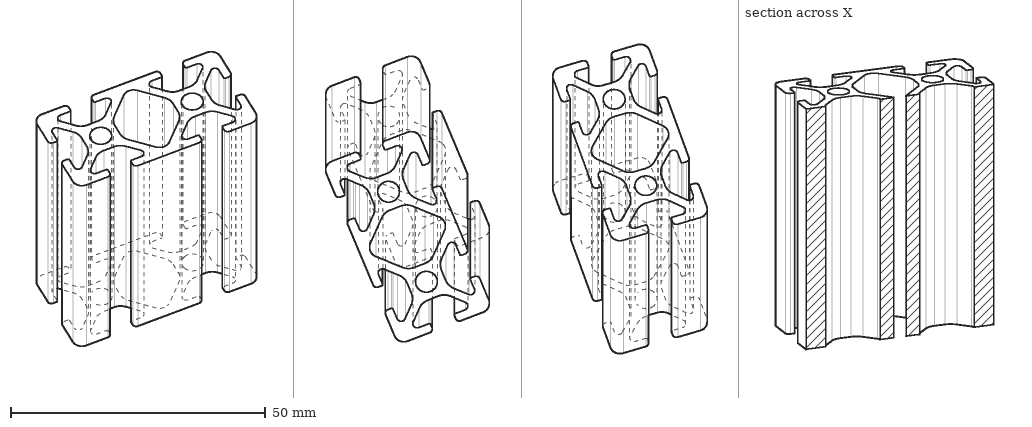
import cadquery as cq

cell = 20.0
length = 50.0
corner_radius = 2.0

slot_opening = 5.0
lip_thickness = 1.8
lip_edge_radius = 0.8
lip_inner_radius = 0.25
strut_width = 1.75
core_width = 7.25
slot_tip_radius = 0.85
slot_floor_radius = 3.0

bore_diameter = 4.3
cavity_side_radius = 2.1

half_cell = cell / 2
half_opening = slot_opening / 2
half_core = core_width / 2
lip_inner = half_cell - lip_thickness
strut_offset = strut_width / 2**0.5
cell_centers = [(0, -half_cell), (0, half_cell)]


def prism(points):
    """Closed outline extruded over the full length."""
    return cq.Workplane("XY").polyline(points).close().extrude(length)


def fillet_upright_edges(body, points, radius):
    """Round the upright edges that pass through the given XY points."""
    near = 0.005
    for x, y in points:
        box = cq.selectors.BoxSelector((x - near, y - near, 0), (x + near, y + near, length))
        body = body.edges("|Z").edges(box).fillet(radius)
    return body


def slot_cavity():
    """Undercut part of a T-slot that opens toward +X of a cell centred on the origin."""
    floor_half = half_core - strut_offset
    tip_half = lip_inner - strut_offset
    floor_corners = [(half_core, -floor_half), (half_core, floor_half)]
    tip_corners = [(lip_inner, tip_half), (lip_inner, -tip_half)]
    cavity = prism(floor_corners + tip_corners)
    cavity = fillet_upright_edges(cavity, floor_corners, slot_floor_radius)
    return fillet_upright_edges(cavity, tip_corners, slot_tip_radius)


def slot_mouth():
    """Gap between the lips, flared by the rounded outer and inner lip edges."""
    outer_edge = half_opening + lip_edge_radius
    inner_edge = half_opening + lip_inner_radius
    outer_start = half_cell - lip_edge_radius
    inner_end = lip_inner + lip_inner_radius
    return (
        cq.Workplane("XY")
        .moveTo(lip_inner, -inner_edge)
        .radiusArc((inner_end, -half_opening), lip_inner_radius)
        .lineTo(outer_start, -half_opening)
        .radiusArc((half_cell, -outer_edge), lip_edge_radius)
        .lineTo(half_cell, outer_edge)
        .radiusArc((outer_start, half_opening), lip_edge_radius)
        .lineTo(inner_end, half_opening)
        .radiusArc((lip_inner, inner_edge), lip_inner_radius)
        .close()
        .extrude(length)
    )


def center_cavity():
    """Hollow between the two cells, bounded by their struts and cores."""
    top = half_cell - half_core
    top_half = half_core - strut_offset
    side = half_cell - strut_offset
    side_corners = [(side, 0), (-side, 0)]
    core_corners = [(top_half, top), (-top_half, top), (-top_half, -top), (top_half, -top)]
    outline = [side_corners[0], *core_corners[:2], side_corners[1], *core_corners[2:]]
    cavity = fillet_upright_edges(prism(outline), core_corners, slot_floor_radius)
    return fillet_upright_edges(cavity, side_corners, cavity_side_radius)


body = cq.Workplane("XY").rect(cell, 2 * cell).extrude(length).edges("|Z").fillet(corner_radius)

slot = slot_mouth().union(slot_cavity())
for x, y in cell_centers:
    outward = 90 if y > 0 else -90
    for angle in (0, outward, 180):
        body = body.cut(slot.rotate((0, 0, 0), (0, 0, 1), angle).translate((x, y, 0)))

body = body.cut(center_cavity())
bores = cq.Workplane("XY").pushPoints(cell_centers).circle(bore_diameter / 2).extrude(length)
result = body.cut(bores)